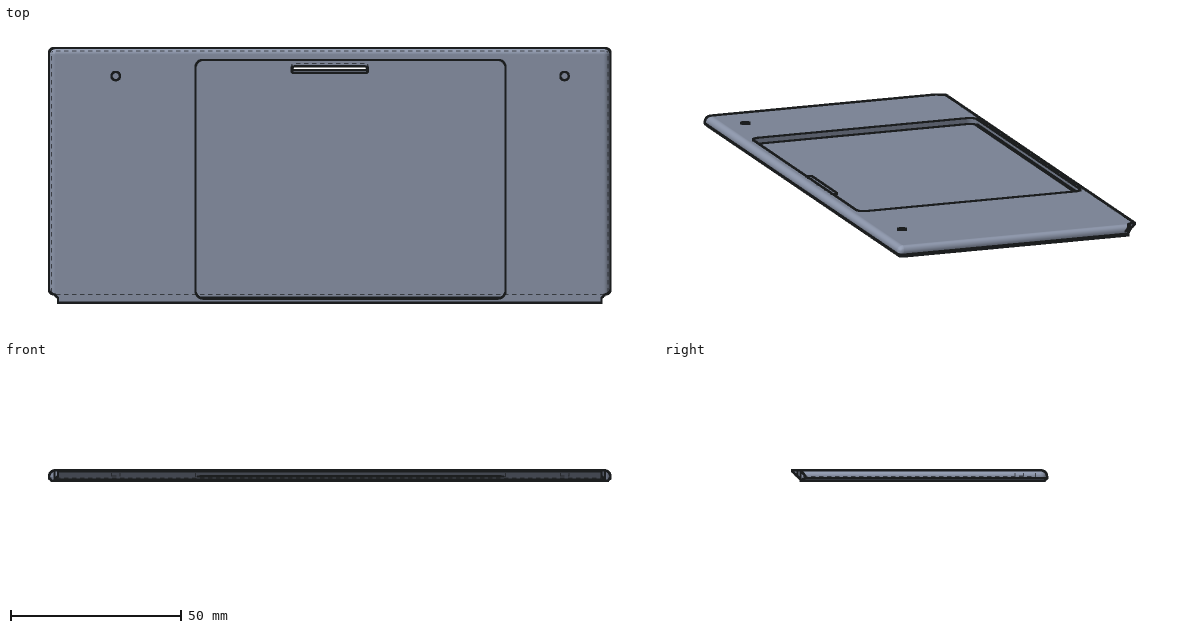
import cadquery as cq
import math

LENGTH = 165.2
WIDTH = 75.0
THICKNESS = 3.1
FRONT = -WIDTH / 2
BACK = WIDTH / 2
SIDE = LENGTH / 2

EDGE_RADIUS = 2.0
BOTTOM_CHAMFER = 0.8
BACK_CORNER_RADIUS = 1.7

NOSE_HEIGHT = 0.3
FOOT_HEIGHT = 0.3

TONGUE_INSET = 2.6
RELIEF_DEPTH = 1.5
FRONT_CORNER_RADIUS = 1.7
BEVEL = 1.0

POCKET_LENGTH = 91.2
POCKET_CENTER_X = 6.1
POCKET_DEPTH = 1.8
POCKET_RADIUS = 2.3
FRONT_WALL = 1.3
BACK_WALL = 3.5

SLOT_LENGTH = 22.6
SLOT_WIDTH = 2.0
SLOT_FROM_BACK = 6.5
SLOT_LEAN = 35.0

HOLE_DIAMETER = 2.5
HOLE_DEPTH = 1.7
HOLE_FROM_BACK = 8.3
HOLE_CENTERS_X = (-63.0, 69.0)


def make_plate():
    """Flat plate with rounded back corners, round-over on top and chamfer below."""
    plate = cq.Workplane("XY").box(LENGTH, WIDTH, THICKNESS, centered=(True, True, False))
    plate = plate.edges("|Z and >Y").fillet(BACK_CORNER_RADIUS)
    plate = plate.faces(">Z").edges("not <Y").fillet(EDGE_RADIUS)
    return plate.faces("<Z").edges("not <Y").chamfer(BOTTOM_CHAMFER)


def make_lip_cutter():
    """Prism that shapes the front edge below the nose."""
    nose_bottom = THICKNESS - NOSE_HEIGHT
    foot_y = FRONT + nose_bottom - FOOT_HEIGHT
    return (
        cq.Workplane("YZ")
        .polyline([(FRONT, 0), (foot_y, 0), (foot_y, FOOT_HEIGHT), (FRONT, nose_bottom)])
        .close()
        .extrude(SIDE, both=True)
    )


def make_corner_relief():
    """Prism that removes the left front corner beside the tongue."""
    tongue_x = -SIDE + TONGUE_INSET
    bevel_y = FRONT + RELIEF_DEPTH
    round_end = (tongue_x - BEVEL, bevel_y + BEVEL)
    round_start = (-SIDE, round_end[1] + FRONT_CORNER_RADIUS)
    return (
        cq.Workplane("XY")
        .moveTo(tongue_x, FRONT)
        .lineTo(tongue_x, bevel_y)
        .lineTo(*round_end)
        .radiusArc(round_start, FRONT_CORNER_RADIUS)
        .lineTo(-SIDE, FRONT)
        .close()
        .extrude(THICKNESS)
    )


def make_pocket():
    """Rounded rectangular recess."""
    width = WIDTH - FRONT_WALL - BACK_WALL
    return (
        cq.Workplane("XY", origin=(POCKET_CENTER_X, FRONT + FRONT_WALL + width / 2, THICKNESS))
        .rect(POCKET_LENGTH, width)
        .extrude(-POCKET_DEPTH)
        .edges("|Z")
        .fillet(POCKET_RADIUS)
    )


def make_slot():
    """Leaning slot from the recess floor to the bottom face."""
    floor = THICKNESS - POCKET_DEPTH
    lean = floor * math.tan(math.radians(SLOT_LEAN))
    slot_y = BACK - SLOT_FROM_BACK
    return (
        cq.Workplane("XY", origin=(0, slot_y, floor))
        .slot2D(SLOT_LENGTH, SLOT_WIDTH)
        .sweep(cq.Workplane("YZ").moveTo(slot_y, floor).lineTo(slot_y + lean, 0))
    )


def make_holes():
    """Pair of blind holes near the back edge."""
    hole_y = BACK - HOLE_FROM_BACK
    return (
        cq.Workplane("XY", origin=(0, 0, THICKNESS))
        .pushPoints([(x, hole_y) for x in HOLE_CENTERS_X])
        .circle(HOLE_DIAMETER / 2)
        .extrude(-HOLE_DEPTH)
    )


relief = make_corner_relief()
result = (
    make_plate()
    .cut(make_lip_cutter())
    .cut(relief)
    .cut(relief.mirror("YZ"))
    .cut(make_pocket())
    .cut(make_slot())
    .cut(make_holes())
)